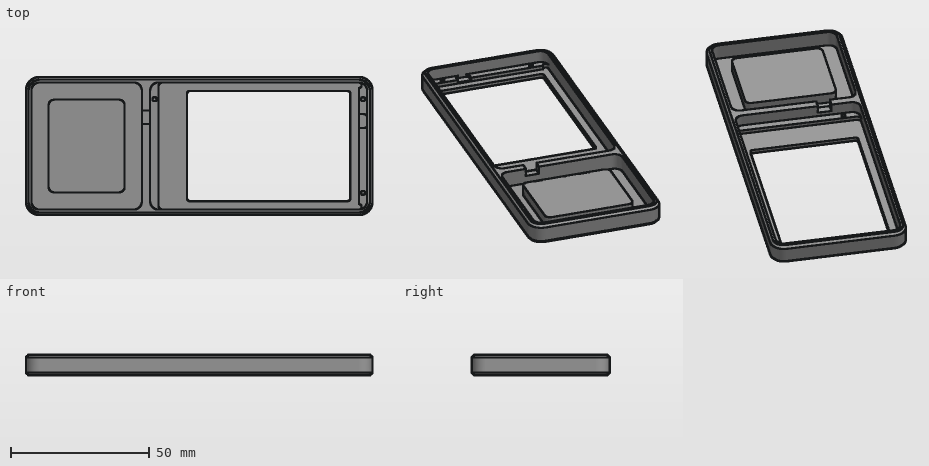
import cadquery as cq
LENGTH = 125.5
WIDTH = 50.0
HEIGHT = 7.5
CORNER_RADIUS = 5.0
EDGE_CHAMFER = 1.0
WALL = 2.0
FLOOR = 1.5
POCKET_RADIUS = CORNER_RADIUS - WALL

INNER_LEFT = -LENGTH / 2 + WALL
INNER_RIGHT = LENGTH / 2 - WALL
INNER_HALF_WIDTH = WIDTH / 2 - WALL

LEFT_POCKET_LENGTH = 40.0
PAD_LENGTH = 27.5
PAD_WIDTH = 33.5
PAD_RADIUS = 2.0
PAD_HEIGHT = 4.0
PAD_CENTER_X = INNER_LEFT + LEFT_POCKET_LENGTH / 2

DIVIDER = 3.0
DIVIDER_LEFT = INNER_LEFT + LEFT_POCKET_LENGTH
DIVIDER_RIGHT = DIVIDER_LEFT + DIVIDER
DIVIDER_NOTCH_WIDTH = 5.0
DIVIDER_NOTCH_Y = 10.4
DIVIDER_NOTCH_Z = 4.6

LEDGE_Z = 3.0
LEFT_LEDGE = 3.0
RIGHT_LEDGE = 3.0
RECESS_LEFT = DIVIDER_RIGHT + LEFT_LEDGE
RECESS_RIGHT = INNER_RIGHT - RIGHT_LEDGE
RECESS_RADIUS = 1.5
RELIEF_RADIUS = 1.0

WINDOW_LEFT = -4.4
WINDOW_RIGHT = 54.6
WINDOW_WIDTH = 39.8
WINDOW_RADIUS = 1.0

LEDGE_NOTCH_WIDTH = 5.0
LEDGE_NOTCH_Y = 9.0
LEDGE_NOTCH_Z = 2.0
LEDGE_NOTCH_RADIUS = 1.0
HOLE_DIAMETER = 1.5
HOLE_DEPTH = LEDGE_Z - FLOOR
HOLE_Y = 16.95
LEFT_HOLE_INSET = 1.6
RIGHT_HOLE_INSET = 1.5
LEFT_HOLE_X = DIVIDER_RIGHT + LEFT_HOLE_INSET
RIGHT_HOLE_X = INNER_RIGHT - RIGHT_HOLE_INSET


def block(x_min, x_max, y_min, y_max, z_min, z_max):
    """Box given by its limits along each axis."""
    return cq.Workplane("XY").box(
        x_max - x_min, y_max - y_min, z_max - z_min, centered=False
    ).translate((x_min, y_min, z_min))


def rounded_block(x_min, x_max, width, z_min, z_max, radius):
    """Box centred on the X axis with rounded vertical edges."""
    return block(x_min, x_max, -width / 2, width / 2, z_min, z_max).edges("|Z").fillet(radius)


def make_body():
    body = rounded_block(-LENGTH / 2, LENGTH / 2, WIDTH, 0, HEIGHT, CORNER_RADIUS)
    return body.faces("<Z or >Z").chamfer(EDGE_CHAMFER)


def make_left_pocket():
    """Material removed around the pad."""
    pocket = rounded_block(
        INNER_LEFT, DIVIDER_LEFT, 2 * INNER_HALF_WIDTH, FLOOR, HEIGHT, POCKET_RADIUS
    )
    pad = rounded_block(
        PAD_CENTER_X - PAD_LENGTH / 2, PAD_CENTER_X + PAD_LENGTH / 2,
        PAD_WIDTH, FLOOR, FLOOR + PAD_HEIGHT, PAD_RADIUS,
    )
    return pocket.cut(pad)


def make_recess():
    """Deep recess between the ledges, with round reliefs at its right corners."""
    recess = block(
        RECESS_LEFT, RECESS_RIGHT, -INNER_HALF_WIDTH, INNER_HALF_WIDTH, FLOOR, HEIGHT
    ).edges("|Z and <X").fillet(RECESS_RADIUS)
    relief_y = INNER_HALF_WIDTH - RELIEF_RADIUS
    reliefs = (
        cq.Workplane("XY", origin=(0, 0, FLOOR))
        .pushPoints([(RECESS_RIGHT, relief_y), (RECESS_RIGHT, -relief_y)])
        .circle(RELIEF_RADIUS)
        .extrude(LEDGE_Z - FLOOR)
    )
    return recess.union(reliefs)


def make_right_pocket():
    upper = rounded_block(
        DIVIDER_RIGHT, INNER_RIGHT, 2 * INNER_HALF_WIDTH, LEDGE_Z, HEIGHT, POCKET_RADIUS
    )
    window = rounded_block(WINDOW_LEFT, WINDOW_RIGHT, WINDOW_WIDTH, 0, FLOOR, WINDOW_RADIUS)
    return upper.union(make_recess()).union(window)


def make_notch(x_min, x_max, center_y, width, z_min, z_max):
    """Straight slot along X."""
    return block(x_min, x_max, center_y - width / 2, center_y + width / 2, z_min, z_max)


def make_screw_holes():
    centers = [(LEFT_HOLE_X, HOLE_Y), (RIGHT_HOLE_X, HOLE_Y), (RIGHT_HOLE_X, -HOLE_Y)]
    return (
        cq.Workplane("XY", origin=(0, 0, LEDGE_Z - HOLE_DEPTH))
        .pushPoints(centers)
        .circle(HOLE_DIAMETER / 2)
        .extrude(HOLE_DEPTH)
    )


divider_notch = make_notch(
    DIVIDER_LEFT, DIVIDER_RIGHT, DIVIDER_NOTCH_Y, DIVIDER_NOTCH_WIDTH, DIVIDER_NOTCH_Z, HEIGHT
)
ledge_notch = make_notch(
    RECESS_RIGHT, INNER_RIGHT, LEDGE_NOTCH_Y, LEDGE_NOTCH_WIDTH, LEDGE_NOTCH_Z, LEDGE_Z
).edges("|Z and >X").fillet(LEDGE_NOTCH_RADIUS)

result = (
    make_body()
    .cut(make_left_pocket())
    .cut(make_right_pocket())
    .cut(divider_notch)
    .cut(ledge_notch)
    .cut(make_screw_holes())
)